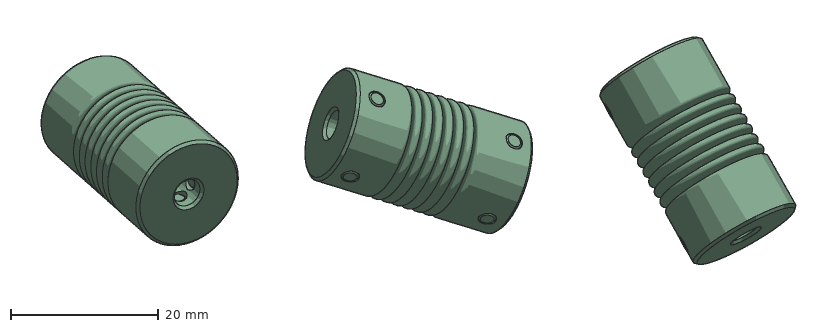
import cadquery as cq

LENGTH = 27.0
OUTER_DIAMETER = 16.0
BORE_RADIUS = 2.0
END_CHAMFER = 0.4

HUB_LENGTH = 8.5
GROOVE_COUNT = 7
GROOVE_FLOOR_RADIUS = 4.75
RING_FILLET_DIAMETER = 1.0

SCREW_RADIUS = 1.25
SCREW_END_DISTANCE = 3.0
SCREW_CHAMFER = 0.3
SCREW_TIP_RECESS = 0.08

HALF_LENGTH = LENGTH / 2
OUTER_RADIUS = OUTER_DIAMETER / 2
RING_FILLET = RING_FILLET_DIAMETER / 2
GROOVE_WIDTH = RING_FILLET
BELLOWS_LENGTH = LENGTH - 2 * HUB_LENGTH
GROOVE_PITCH = (BELLOWS_LENGTH - GROOVE_WIDTH) / (GROOVE_COUNT - 1)
SCREW_X = HALF_LENGTH - SCREW_END_DISTANCE
SCREW_TIP = BORE_RADIUS + SCREW_TIP_RECESS

SCREW_DIRECTIONS = (cq.Vector(0, 1, 0), cq.Vector(0, 0, -1))
SCREW_SEATS = [(x, direction) for x in (-SCREW_X, SCREW_X) for direction in SCREW_DIRECTIONS]


def make_blank():
    """Chamfered cylinder with a chamfered through bore."""
    return (
        cq.Workplane("YZ", origin=(-HALF_LENGTH, 0, 0))
        .circle(OUTER_RADIUS)
        .circle(BORE_RADIUS)
        .extrude(LENGTH)
        .faces("<X or >X")
        .chamfer(END_CHAMFER)
    )


def make_groove(centre_x):
    """Ring-shaped cutter: rounded floor, straight walls and a mouth flared by the ring fillets."""
    half_width = GROOVE_WIDTH / 2
    half_mouth = half_width + RING_FILLET
    floor_start = GROOVE_FLOOR_RADIUS + half_width
    wall_end = OUTER_RADIUS - RING_FILLET
    return (
        cq.Workplane("XY", origin=(centre_x, 0, 0))
        .moveTo(-half_mouth, OUTER_RADIUS)
        .radiusArc((-half_width, wall_end), RING_FILLET)
        .lineTo(-half_width, floor_start)
        .threePointArc((0, GROOVE_FLOOR_RADIUS), (half_width, floor_start))
        .lineTo(half_width, wall_end)
        .radiusArc((half_mouth, OUTER_RADIUS), RING_FILLET)
        .close()
        .revolve(360, (0, 0, 0), (1, 0, 0))
    )


def make_radial_cylinder(x, direction, inner_end, outer_end):
    """Cylinder of the set screw diameter, pointing outwards from the coupling axis."""
    start = cq.Vector(x, 0, 0) + direction * inner_end
    return cq.Workplane(cq.Solid.makeCylinder(SCREW_RADIUS, outer_end - inner_end, start, direction))


def make_coupling():
    """Both hubs and the bellows in one piece, with the holes for the set screws."""
    coupling = make_blank()
    for index in range(GROOVE_COUNT):
        coupling = coupling.cut(make_groove((index - (GROOVE_COUNT - 1) / 2) * GROOVE_PITCH))
    for x, direction in SCREW_SEATS:
        coupling = coupling.cut(make_radial_cylinder(x, direction, 0, 2 * OUTER_RADIUS))
    return coupling


def make_set_screw(x, direction):
    """Set screw chamfered at both ends: tip just short of the bore, head at the outer radius."""
    screw = make_radial_cylinder(x, direction, SCREW_TIP, OUTER_RADIUS)
    return screw.faces(cq.selectors.ParallelDirSelector(direction)).edges().chamfer(SCREW_CHAMFER)


coupling = make_coupling()
set_screws = [make_set_screw(x, direction) for x, direction in SCREW_SEATS]

result = cq.Compound.makeCompound([coupling.val(), *[screw.val() for screw in set_screws]])